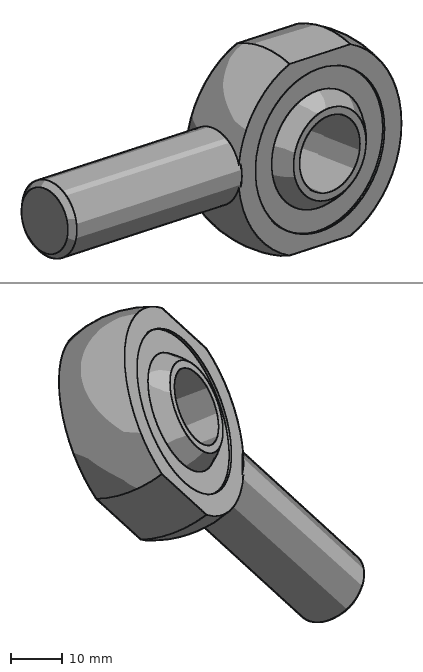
import cadquery as cq
import math

total_length = 88.85

eye_radius = 22.9
eye_width = 15.3
eye_height = 42.9

recess_diameter = 34.2
recess_depth = 0.5

ball_radius = 14.2
ball_width = 21.0
bore_diameter = 16.0

shank_diameter = 16.0
shank_start = 21.0
shank_end = total_length - eye_radius
shank_chamfer = 1.2


def x_cylinder(diameter, width):
    """Cylinder along X, centred on the origin."""
    return cq.Workplane("YZ").circle(diameter / 2).extrude(width / 2, both=True)


def sphere_slice(radius, width):
    """Sphere cut flat at both ends to the given width, revolved around X."""
    half_width = width / 2
    end_radius = math.sqrt(radius**2 - half_width**2)
    return (
        cq.Workplane("XY")
        .moveTo(-half_width, 0)
        .lineTo(-half_width, end_radius)
        .threePointArc((0, radius), (half_width, end_radius))
        .lineTo(half_width, 0)
        .close()
        .revolve(360, (0, 0, 0), (1, 0, 0))
    )


def make_eye():
    """Spherical slice with crowned top and bottom lands and recessed faces."""
    land_cylinder = cq.Workplane("XZ").circle(eye_height / 2).extrude(eye_radius, both=True)
    recessed_width = eye_width - 2 * recess_depth
    face_recesses = x_cylinder(recess_diameter, eye_width).cut(
        x_cylinder(recess_diameter, recessed_width)
    )
    return sphere_slice(eye_radius, eye_width).intersect(land_cylinder).cut(face_recesses)


def make_shank():
    """Round shank with a chamfered free end."""
    return (
        cq.Workplane("XZ", origin=(0, -shank_start, 0))
        .circle(shank_diameter / 2)
        .extrude(shank_end - shank_start)
        .faces("<Y")
        .chamfer(shank_chamfer)
    )


ball = sphere_slice(ball_radius, ball_width)
bore = x_cylinder(bore_diameter, ball_width)
result = make_eye().union(make_shank()).union(ball).cut(bore)